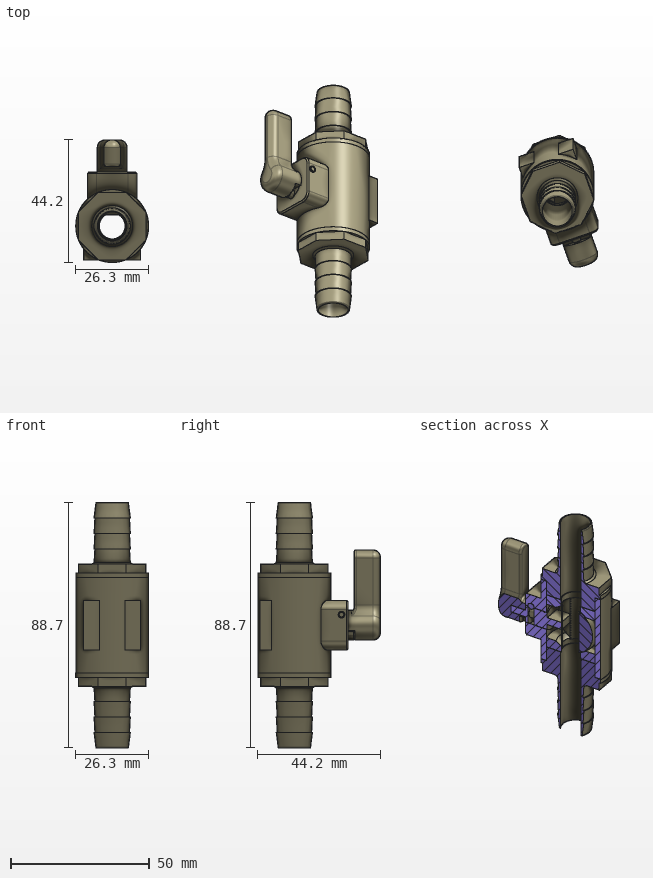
import cadquery as cq
import math


TOTAL_LENGTH = 88.65
TOTAL_DEPTH = 44.2
BODY_DIAMETER = 26.3
OVERLAP = 0.9

BODY_LENGTH = 34.6
CAVITY_DIAMETER = 21.45
BOSS_WIDTH = 18.0
BOSS_CORNER_RADIUS = 3.3
BOSS_TOP = 19.4
BOSS_CHAMFER = 0.5
PAD_SPAN = 20.6
PAD_FACE = 12.3
PAD_LENGTH = BOSS_WIDTH

STOP_DIAMETER = 3.2
STOP_HEIGHT = 2.4
STOP_CHAMFER = 0.5
STOP_GAP = 0.2

FLANGE_THICKNESS = 1.6
OCTAGON_SIDES = 8
OCTAGON_THICKNESS = 3.2
OCTAGON_FLATS = 24.4
TAIL_BORE = 10.7
TIP_DIAMETER = 11.8
TIP_ROUND = 0.35
BARB_CREST = 13.1
BARB_ROOT = 12.5
BARB_PITCH = 5.6
BARB_COUNT = 4
ROOT_FLARE_DIAMETER = 14.8
ROOT_FLARE_HEIGHT = 0.5

BALL_DIAMETER = 19.95
BALL_BORE = 9.3
SEAT_BORE = 10.2
SEAT_INNER_FACE = 7.1
SEAT_OUTER_FACE = 11.1

STEM_DIAMETER = 9.5
TANG_WIDTH = 6.4
TANG_THICKNESS = 3.2
TANG_END = 4.0
DRIVE_HEIGHT = 6.2
PIN_DIAMETER = 2.4
PIN_CHAMFER = 0.35
PIN_Y = 17.0
PIN_Z = 3.8

HUB_DIAMETER = 10.8
LEVER_WIDTH = 5.85
LEVER_TIP = 27.2
LEVER_BACK = 21.5
FLARE_RADIUS = 6.65
HANDLE_FRONT_ROUND = 2.75
LEVER_BACK_ROUND = 0.84

BODY_RADIUS = BODY_DIAMETER / 2
HANDLE_FRONT = TOTAL_DEPTH - BODY_RADIUS
TAIL_TIP = TOTAL_LENGTH / 2
FLANGE_BASE = BODY_LENGTH / 2
OCTAGON_BASE = FLANGE_BASE + FLANGE_THICKNESS
OCTAGON_FACE = OCTAGON_BASE + OCTAGON_THICKNESS
STOP_Z = -(HUB_DIAMETER - STOP_DIAMETER) / 2


def along_y(start, z=0):
    """Workplane facing +Y at Y = start; its local axes are world X and -Z."""
    return cq.Workplane("XZ", origin=(0, start, z)).transformed(rotate=(180, 0, 0))


def cylinder_y(diameter, start, end, z=0):
    return along_y(start, z).circle(diameter / 2).extrude(end - start)


def block_y(width, height, start, end):
    return along_y(start).rect(width, height).extrude(end - start)


def cylinder_z(diameter, start, end):
    return cq.Workplane("XY", origin=(0, 0, start)).circle(diameter / 2).extrude(end - start)


def pin_blank():
    start = (-BOSS_WIDTH / 2, PIN_Y, PIN_Z)
    return cq.Workplane("YZ", origin=start).circle(PIN_DIAMETER / 2).extrude(BOSS_WIDTH)


def tang_blank(start, end):
    return block_y(TANG_WIDTH, TANG_THICKNESS, start, end)


def make_housing():
    body = cylinder_z(BODY_DIAMETER, -BODY_LENGTH / 2, BODY_LENGTH / 2)
    boss = (
        block_y(BOSS_WIDTH, BOSS_WIDTH, 0, BOSS_TOP)
        .edges("|Y").fillet(BOSS_CORNER_RADIUS)
        .faces(">Y").chamfer(BOSS_CHAMFER)
    )
    pads = block_y(PAD_SPAN, PAD_LENGTH, -PAD_FACE, 0)
    stop = cylinder_y(STOP_DIAMETER, BOSS_TOP - OVERLAP, BOSS_TOP + STOP_HEIGHT, z=STOP_Z)
    stop = stop.faces(">Y").chamfer(STOP_CHAMFER)
    housing = body.union(boss).union(pads).union(stop)

    cavity = cylinder_z(CAVITY_DIAMETER, -BODY_LENGTH / 2, BODY_LENGTH / 2)
    stem_hole = cylinder_y(STEM_DIAMETER, 0, BOSS_TOP)
    return housing.cut(cavity).cut(stem_hole).cut(pin_blank())


def make_upper_tail():
    tip_radius = TIP_DIAMETER / 2
    bore_radius = TAIL_BORE / 2
    crest_radius = BARB_CREST / 2
    first_crest = TAIL_TIP - BARB_PITCH
    flare_top = OCTAGON_FACE + ROOT_FLARE_HEIGHT

    profile = cq.Workplane("XZ").moveTo(bore_radius, FLANGE_BASE).lineTo(bore_radius, TAIL_TIP)
    profile = profile.lineTo(tip_radius - TIP_ROUND, TAIL_TIP)
    profile = profile.radiusArc((tip_radius, TAIL_TIP - TIP_ROUND), TIP_ROUND)
    for barb in range(BARB_COUNT - 1):
        crest_z = first_crest - barb * BARB_PITCH
        profile = profile.lineTo(crest_radius, crest_z).lineTo(BARB_ROOT / 2, crest_z)
    profile = profile.lineTo(crest_radius, flare_top)
    profile = profile.lineTo(ROOT_FLARE_DIAMETER / 2, OCTAGON_FACE)
    profile = profile.lineTo(ROOT_FLARE_DIAMETER / 2, FLANGE_BASE).close()
    hose_end = profile.revolve(360, (0, 0, 0), (0, 1, 0))

    corner_diameter = OCTAGON_FLATS / math.cos(math.pi / OCTAGON_SIDES)
    octagon = (
        cq.Workplane("XY", origin=(0, 0, OCTAGON_BASE))
        .polygon(OCTAGON_SIDES, corner_diameter)
        .extrude(OCTAGON_THICKNESS)
        .rotate((0, 0, 0), (0, 0, 1), 180 / OCTAGON_SIDES)
    )
    flange = cylinder_z(BODY_DIAMETER, FLANGE_BASE, OCTAGON_BASE)
    spigot = cylinder_z(CAVITY_DIAMETER, SEAT_OUTER_FACE, FLANGE_BASE)
    bore = cylinder_z(TAIL_BORE, SEAT_OUTER_FACE, TAIL_TIP)
    return flange.union(spigot).union(octagon).union(hose_end).cut(bore)


def make_upper_seat():
    ring = cylinder_z(CAVITY_DIAMETER, SEAT_INNER_FACE, SEAT_OUTER_FACE)
    bore = cylinder_z(SEAT_BORE, SEAT_INNER_FACE, SEAT_OUTER_FACE)
    return ring.cut(bore).cut(cq.Workplane("XY").sphere(BALL_DIAMETER / 2))


def make_ball():
    ball = cq.Workplane("XY").sphere(BALL_DIAMETER / 2)
    bore = cylinder_z(BALL_BORE, -BALL_DIAMETER / 2, BALL_DIAMETER / 2)
    slot = block_y(TANG_WIDTH, BALL_DIAMETER, TANG_END, BALL_DIAMETER / 2)
    return ball.cut(bore).cut(slot)


def make_stem():
    shank = cylinder_y(STEM_DIAMETER, BALL_DIAMETER / 2, BOSS_TOP)
    stem = shank.union(tang_blank(TANG_END, BOSS_TOP + DRIVE_HEIGHT))

    groove_floor = 2 * PIN_Z - PIN_DIAMETER
    groove_start = PIN_Y - PIN_DIAMETER / 2
    groove_end = PIN_Y + PIN_DIAMETER / 2
    groove = cylinder_y(STEM_DIAMETER, groove_start, groove_end)
    groove = groove.cut(cylinder_y(groove_floor, groove_start, groove_end))
    return stem.cut(groove)


def make_pin():
    return pin_blank().faces("<X or >X").chamfer(PIN_CHAMFER)


def lever_outline(start, end):
    """Hub circle that flares into a straight, round-ended lever pointing up Z."""
    hub_radius = HUB_DIAMETER / 2
    half_width = LEVER_WIDTH / 2
    flare_x = half_width + FLARE_RADIUS
    flare_z = math.sqrt((hub_radius + FLARE_RADIUS) ** 2 - flare_x ** 2)
    tangent_share = hub_radius / (hub_radius + FLARE_RADIUS)
    tangent_x = flare_x * tangent_share
    tangent_z = flare_z * tangent_share
    tip_centre = LEVER_TIP - half_width
    return (
        cq.Workplane("XZ", origin=(0, end, 0))
        .moveTo(half_width, flare_z)
        .lineTo(half_width, tip_centre)
        .threePointArc((0, LEVER_TIP), (-half_width, tip_centre))
        .lineTo(-half_width, flare_z)
        .radiusArc((-tangent_x, tangent_z), FLARE_RADIUS)
        .threePointArc((0, -hub_radius), (tangent_x, tangent_z))
        .radiusArc((half_width, flare_z), FLARE_RADIUS)
        .close()
        .extrude(end - start)
    )


def lever_undercut():
    """Ring around the hub behind the lever, with a concave round at its inner corner."""
    hub_radius = HUB_DIAMETER / 2
    return (
        cq.Workplane("XY")
        .moveTo(hub_radius, BOSS_TOP - OVERLAP)
        .lineTo(hub_radius, LEVER_BACK - LEVER_BACK_ROUND)
        .radiusArc((hub_radius + LEVER_BACK_ROUND, LEVER_BACK), LEVER_BACK_ROUND)
        .lineTo(LEVER_TIP + OVERLAP, LEVER_BACK)
        .lineTo(LEVER_TIP + OVERLAP, BOSS_TOP - OVERLAP)
        .close()
        .revolve(360, (0, 0, 0), (0, -1, 0))
    )


def make_handle():
    handle = lever_outline(BOSS_TOP, HANDLE_FRONT)
    handle = handle.faces(">Y").edges().fillet(HANDLE_FRONT_ROUND)
    handle = handle.cut(lever_undercut())

    back_face = cq.NearestToPointSelector((0, LEVER_BACK, LEVER_TIP / 2))
    rim = handle.faces(back_face).edges().sort(lambda edge: edge.Center().z)
    handle = rim[1:].fillet(LEVER_BACK_ROUND)

    stop_clearance_top = STOP_Z + STOP_DIAMETER / 2 + STOP_GAP
    stop_clearance = (
        cq.Workplane("XY")
        .box(HUB_DIAMETER, STOP_HEIGHT, HUB_DIAMETER, centered=(True, False, False))
        .translate((0, BOSS_TOP, stop_clearance_top - HUB_DIAMETER))
    )
    return handle.cut(stop_clearance).cut(tang_blank(BOSS_TOP, BOSS_TOP + DRIVE_HEIGHT))


housing = make_housing()
ball = make_ball()
stem = make_stem()
pin = make_pin()
handle = make_handle()

tails = []
seats = []
for turn in (0, 180):
    tails.append(make_upper_tail().rotate((0, 0, 0), (0, 1, 0), turn))
    seats.append(make_upper_seat().rotate((0, 0, 0), (0, 1, 0), turn))

bodies = [housing, *tails, *seats, ball, stem, pin, handle]
result = cq.Compound.makeCompound([body.solids().val() for body in bodies])